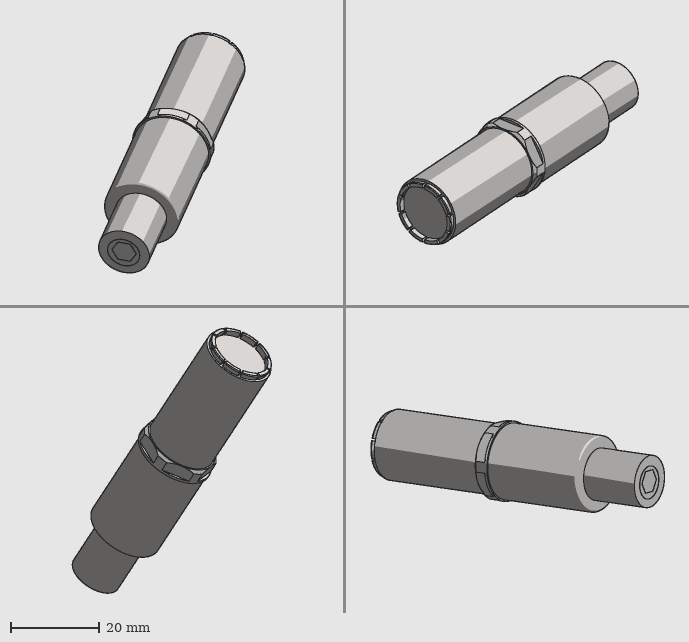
import cadquery as cq
import math

TOTAL_LENGTH = 71.5
PIN_LENGTH = 14.0
FRONT_SLEEVE_LENGTH = 24.45
COLLAR_LENGTH = 3.65
CROWN_LENGTH = 1.35

PIN_RADIUS = 6.0
FRONT_SLEEVE_RADIUS = 8.8
COLLAR_DIAMETER = 18.4
COLLAR_RADIUS = COLLAR_DIAMETER / 2
REAR_SLEEVE_RADIUS = 8.15

FRONT_SLEEVE_FILLET = 0.6
COLLAR_CHAMFER = 0.68

FLAT_COUNT = 6
FLAT_DISTANCE = 8.5
FLAT_RIM = 0.65

CROWN_RADIUS = 7.7
CROWN_FOOT_RADIUS = 7.6
CROWN_WAIST_RADIUS = 7.65
CROWN_TIP_RADIUS = 7.6
CROWN_BORE_RADIUS = 6.7
CROWN_FOOT_LENGTH = 0.65
CROWN_TIP_LENGTH = 0.3
CROWN_SLOT_COUNT = 10
CROWN_SLOT_WIDTH = 0.6

SCREW_OFFSET_X = -0.1
SCREW_OFFSET_Z = -0.2
SCREW_RADIUS = 3.8
SCREW_RECESS = 0.1
SOCKET_ACROSS_FLATS = 5.0
SOCKET_DEPTH = 0.1

FRONT_SLEEVE_START = PIN_LENGTH
COLLAR_START = FRONT_SLEEVE_START + FRONT_SLEEVE_LENGTH
COLLAR_END = COLLAR_START + COLLAR_LENGTH
CROWN_START = TOTAL_LENGTH - CROWN_LENGTH


def plane_at(y):
    """Work plane across the axis at position y, drawing X along +X and facing +Y."""
    return cq.Workplane(cq.Plane(origin=(0, y, 0), xDir=(1, 0, 0), normal=(0, 1, 0)))


def cylinder(radius, start, end):
    return plane_at(start).circle(radius).extrude(end - start)


def make_collar():
    collar = cylinder(COLLAR_RADIUS, COLLAR_START, COLLAR_END).faces(">Y").chamfer(COLLAR_CHAMFER)
    flats_start = COLLAR_START + FLAT_RIM
    cutter = (
        cq.Workplane("XY")
        .box(COLLAR_DIAMETER, COLLAR_LENGTH, COLLAR_RADIUS, centered=(True, False, False))
        .translate((0, flats_start, FLAT_DISTANCE))
    )
    for i in range(FLAT_COUNT):
        collar = collar.cut(cutter.rotate((0, 0, 0), (0, 1, 0), i * 360 / FLAT_COUNT))
    return collar


def make_crown():
    profile = [
        (CROWN_BORE_RADIUS, CROWN_START),
        (CROWN_FOOT_RADIUS, CROWN_START),
        (CROWN_WAIST_RADIUS, CROWN_START + CROWN_FOOT_LENGTH),
        (CROWN_RADIUS, TOTAL_LENGTH - CROWN_TIP_LENGTH),
        (CROWN_TIP_RADIUS, TOTAL_LENGTH),
        (CROWN_BORE_RADIUS, TOTAL_LENGTH),
    ]
    crown = cq.Workplane("XY").polyline(profile).close().revolve(360, (0, 0, 0), (0, 1, 0))
    slot = (
        cq.Workplane("XY")
        .box(CROWN_SLOT_WIDTH, CROWN_LENGTH, CROWN_RADIUS, centered=(True, False, False))
        .translate((0, CROWN_START, 0))
    )
    for i in range(CROWN_SLOT_COUNT):
        crown = crown.cut(slot.rotate((0, 0, 0), (0, 1, 0), i * 360 / CROWN_SLOT_COUNT))
    return crown


def make_front_sleeve():
    sleeve = cylinder(FRONT_SLEEVE_RADIUS, FRONT_SLEEVE_START, COLLAR_START)
    return sleeve.faces("<Y").edges().fillet(FRONT_SLEEVE_FILLET)


def make_screw_recess():
    socket_diameter = SOCKET_ACROSS_FLATS / math.cos(math.pi / 6)
    socket = plane_at(0).polygon(6, socket_diameter).extrude(SCREW_RECESS + SOCKET_DEPTH)
    head = cylinder(SCREW_RADIUS, 0, SCREW_RECESS).translate((SCREW_OFFSET_X, 0, SCREW_OFFSET_Z))
    return head.union(socket)


result = (
    cylinder(PIN_RADIUS, 0, FRONT_SLEEVE_START)
    .union(make_front_sleeve())
    .union(make_collar())
    .union(cylinder(REAR_SLEEVE_RADIUS, COLLAR_END, CROWN_START))
    .union(make_crown())
    .cut(make_screw_recess())
)